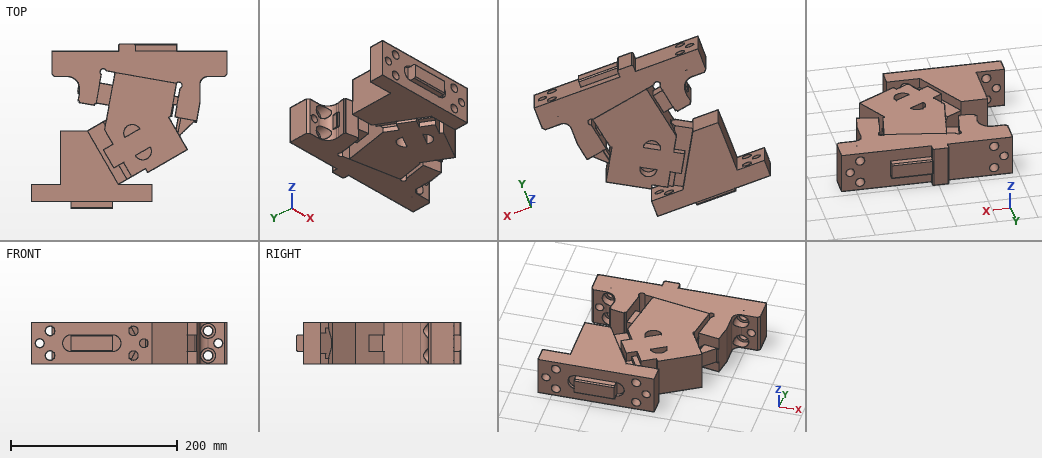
import cadquery as cq
import math


half_height = 25.03
key_half_width = 10.0
key_length = 50.0
key_protrusion = 8.5
key_chamfer = 1.6
bolt_radius = 5.6
pin_radius = 5.2
bolt_offset_z = 14.8
overlap = 2.4

base_length = 145.0
base_thickness = 20.7
base_bolt_offset = 50.0
base_pin_offset = 62.5
key_pocket_half_length = 35.0
key_pocket_depth = 4.2
tower_left = 34.8
tower_top = 85.0
base_center = base_length / 2

guide_tilt = math.radians(60)
guide_start = (67.2, tower_top)
guide_length = (tower_top - base_thickness) / math.sin(guide_tilt)
ridge_half_width = 12.57
ridge_tip_half_width = 5.6
vee_start = 18.5
vee_half_width = 18.45
vee_slope = math.tan(math.radians(30))
ridge_shoulder = vee_start + (vee_half_width - ridge_half_width) * vee_slope
ridge_tip = vee_start + (vee_half_width - ridge_tip_half_width) * vee_slope
stop_bottom = 12.0

tongue_bottom = 5.2
tongue_start = 29.4
tongue_end = 54.5
vee_entry = 9.2
groove_floor = 27.3
tail_step = 37.5
tail_end = 79.7
slide_face = 92.8
face_start = 35.0
face_step = 2.4
groove_lead_in = 47.0
slot_center_u = 45.4
slot_radius = 10.3
slot_depth = 18.8
slide_left = 15.7
slide_right = 91.0

holder_left = 24.7
holder_right = 235.0
holder_back = 180.7
holder_front = 150.2
holder_chamfer = 3.0
boss_left = 104.8
boss_right = 124.8
boss_height = 9.0
boss_chamfer = 1.5
holder_pin_inset = 10.5
holder_bolt_inset = 22.8
counterbore_radius = 9.0
counterbore_mouth = 136.3
counterbore_depth = 10.0
left_arm_x = 57.8
left_fillet = 14.8
right_arm_x = 202.5
right_fillet = 9.5

pocket_tilt = math.radians(10)
pocket_corner = (84.8, 158.0)
pocket_width = 95.9
left_arm_outside = -22.0
left_arm_end = 43.2
foot_height = 1.9
foot_inset = 1.9
right_arm_outside = 122.7
right_arm_end = 40.2
relief_inset = 1.9
relief_radius = 3.8

bar_start = 15.5
bar_end = right_arm_end
bar_overhang = 1.2
bar_head_end = 25.8
plug_outside = -24.5
plug_start = 21.0
plug_end = 32.5
plug_step = 0.7
plug_step_start = 29.5
hook_left = 103.2
heel_left = 120.5
heel_height = 2.0
hook_rib_left = 99.9
hook_rib_half_width = 7.0
hook_rib_v = 51.7
hook_left_v = 56.9
hook_tip_v = 60.5


def guide_point(u, v):
    x = guide_start[0] + u * math.sin(guide_tilt) + v * math.cos(guide_tilt)
    y = guide_start[1] + u * math.cos(guide_tilt) - v * math.sin(guide_tilt)
    return (x, y)


def pocket_point(p, q):
    x = pocket_corner[0] + p * math.cos(pocket_tilt) - q * math.sin(pocket_tilt)
    y = pocket_corner[1] - p * math.sin(pocket_tilt) - q * math.cos(pocket_tilt)
    return (x, y)


def pocket_q_at_x(p, x):
    """Depth q at which the pocket-frame line of constant p crosses the given X."""
    return (pocket_corner[0] + p * math.cos(pocket_tilt) - x) / math.sin(pocket_tilt)


def plate(points, half_width=half_height):
    """Prism with an XY outline, centred on Z = 0."""
    return cq.Workplane("XY").polyline(points).close().extrude(half_width, both=True)


def pocket_block(p_min, p_max, q_min, q_max, half_width):
    corners = [(p_min, q_min), (p_max, q_min), (p_max, q_max), (p_min, q_max)]
    return plate([pocket_point(p, q) for p, q in corners], half_width)


def guide_prism(half_profile, v_min, v_max):
    """Prism along the guide; half_profile lists (u, z) above the middle plane, mirrored below it."""
    profile = half_profile + [(u, -z) for u, z in reversed(half_profile)]
    along = (math.cos(guide_tilt), -math.sin(guide_tilt), 0)
    across = (math.sin(guide_tilt), math.cos(guide_tilt), 0)
    origin = (*guide_point(0, v_min), 0)
    plane = cq.Plane(origin=origin, xDir=across, normal=along)
    return cq.Workplane(plane).polyline(profile).close().extrude(v_max - v_min)


def box(x_min, x_max, y_min, y_max, half_width):
    return plate([(x_min, y_min), (x_max, y_min), (x_max, y_max), (x_min, y_max)], half_width)


def holes_along_y(centers, radius, y_min, y_max):
    """Cylinders along Y at the (x, z) centers."""
    plane = cq.Plane(origin=(0, y_max, 0), xDir=(1, 0, 0), normal=(0, -1, 0))
    return cq.Workplane(plane).pushPoints(centers).circle(radius).extrude(y_max - y_min)


def bolt_centers(*x_positions):
    return [(x, z) for x in x_positions for z in (-bolt_offset_z, bolt_offset_z)]


def make_driver():
    body = box(0, base_length, 0, base_thickness, half_height)
    body = body.union(plate([
        (tower_left, base_thickness),
        guide_point(0, guide_length),
        guide_start,
        (tower_left, tower_top),
    ]))

    ridge = [
        (-overlap, ridge_half_width),
        (ridge_shoulder, ridge_half_width),
        (ridge_tip, ridge_tip_half_width),
    ]
    body = body.union(guide_prism(ridge, 0, guide_length))

    stop = [
        (stop_bottom, vee_half_width),
        (vee_start, vee_half_width),
        (ridge_shoulder, ridge_half_width),
    ]
    body = body.union(guide_prism(stop, tongue_end, guide_length))

    pocket = (
        cq.Workplane("XZ")
        .center(base_center, 0)
        .slot2D(2 * key_pocket_half_length, 2 * key_half_width)
        .extrude(-key_pocket_depth)
    )
    body = body.cut(pocket)
    key_left = base_center - key_length / 2
    key = box(key_left, key_left + key_length, -key_protrusion, key_pocket_depth, key_half_width)
    key = key.faces("<Y").edges("|X").chamfer(key_chamfer)
    body = body.union(key)

    bolts = bolt_centers(base_center - base_bolt_offset, base_center + base_bolt_offset)
    pins = [(base_center - base_pin_offset, 0), (base_center + base_pin_offset, 0)]
    body = body.cut(holes_along_y(bolts, bolt_radius, 0, base_thickness))
    return body.cut(holes_along_y(pins, pin_radius, 0, base_thickness))


def make_slide():
    body = plate([
        pocket_point(slide_left, 0),
        pocket_point(slide_right, 0),
        guide_point(slide_face + face_step, face_start),
        guide_point(slide_face, face_start),
        guide_point(slide_face, tail_end),
        guide_point(tail_step, tail_end),
        guide_point(tail_step, guide_length),
        guide_point(vee_start, guide_length),
        guide_point(vee_start, tongue_end),
        guide_point(tongue_bottom, tongue_end),
        guide_point(tongue_bottom, tongue_start),
        guide_point(vee_start, tongue_start),
        guide_point(vee_start, vee_entry),
    ])

    groove = [
        (0, ridge_half_width),
        (ridge_shoulder, ridge_half_width),
        (ridge_tip, ridge_tip_half_width),
        (groove_floor, ridge_tip_half_width),
    ]
    body = body.cut(guide_prism(groove, -groove_lead_in, guide_length))

    mouth = [(vee_start, vee_half_width), (ridge_shoulder, ridge_half_width)]
    body = body.cut(guide_prism(mouth, -groove_lead_in, tongue_start))
    body = body.cut(guide_prism(mouth, tongue_end, guide_length))

    band = plate([
        guide_point(slot_center_u - slot_radius, tongue_start),
        guide_point(slot_center_u + slot_radius, tongue_start),
        guide_point(slot_center_u + slot_radius, tongue_end),
        guide_point(slot_center_u - slot_radius, tongue_end),
    ])
    centers = [guide_point(slot_center_u, v) for v in (tongue_start, tongue_end)]
    discs = cq.Workplane("XY").pushPoints(centers).circle(slot_radius).extrude(half_height, both=True)
    core_half_width = half_height - slot_depth
    core = cq.Workplane("XY").pushPoints(centers).circle(slot_radius).extrude(core_half_width, both=True)
    body = body.cut(discs.cut(band).cut(core))

    body = body.union(pocket_block(0, slide_right + bar_overhang, bar_start, bar_end, key_half_width))
    return body.union(pocket_block(slide_right, pocket_width, bar_start, bar_head_end, key_half_width))


def holder_outline():
    diagonal = math.sqrt(0.5)
    foot_start = left_arm_end - foot_height
    left_bend = pocket_q_at_x(left_arm_outside, left_arm_x)
    right_bend = pocket_q_at_x(right_arm_outside, right_arm_x)
    left_center = (left_arm_x - left_fillet, holder_front - left_fillet)
    right_center = (right_arm_x + right_fillet, holder_front - right_fillet)
    left_middle = (left_center[0] + left_fillet * diagonal, left_center[1] + left_fillet * diagonal)
    right_middle = (right_center[0] - right_fillet * diagonal, right_center[1] + right_fillet * diagonal)
    return (
        cq.Workplane("XY")
        .moveTo(holder_left, holder_back)
        .lineTo(holder_left, holder_front + holder_chamfer)
        .lineTo(holder_left + holder_chamfer, holder_front)
        .lineTo(left_center[0], holder_front)
        .threePointArc(left_middle, (left_arm_x, left_center[1]))
        .lineTo(*pocket_point(left_arm_outside, left_bend))
        .lineTo(*pocket_point(left_arm_outside, foot_start))
        .lineTo(*pocket_point(left_arm_outside + foot_inset, foot_start))
        .lineTo(*pocket_point(left_arm_outside + foot_inset, left_arm_end))
        .lineTo(*pocket_point(-foot_inset, left_arm_end))
        .lineTo(*pocket_point(-foot_inset, foot_start))
        .lineTo(*pocket_point(0, foot_start))
        .lineTo(*pocket_corner)
        .lineTo(*pocket_point(pocket_width, 0))
        .lineTo(*pocket_point(pocket_width, right_arm_end))
        .lineTo(*pocket_point(right_arm_outside, right_arm_end))
        .lineTo(*pocket_point(right_arm_outside, right_bend))
        .lineTo(right_arm_x, right_center[1])
        .threePointArc(right_middle, (right_center[0], holder_front))
        .lineTo(holder_right - holder_chamfer, holder_front)
        .lineTo(holder_right, holder_front + holder_chamfer)
        .lineTo(holder_right, holder_back)
        .close()
    )


def make_holder():
    body = holder_outline().extrude(half_height, both=True)

    reliefs = [
        pocket_point(relief_inset, relief_inset),
        pocket_point(pocket_width - relief_inset, relief_inset),
    ]
    body = body.cut(
        cq.Workplane("XY").pushPoints(reliefs).circle(relief_radius).extrude(half_height, both=True)
    )

    back_top = holder_back + boss_height
    boss = box(boss_left, boss_right, holder_back, back_top, half_height)
    boss = boss.faces(">Y").edges("|Z").chamfer(boss_chamfer)
    key = box(boss_right, boss_right + key_length, holder_back, back_top, key_half_width)
    key = key.faces(">Y").edges("|X").chamfer(key_chamfer)
    body = body.union(boss).union(key)

    body = body.union(plate([
        pocket_point(left_arm_outside + overlap, plug_start),
        pocket_point(plug_outside, plug_start),
        pocket_point(plug_outside, plug_step_start),
        pocket_point(plug_outside + plug_step, plug_step_start),
        pocket_point(plug_outside + plug_step, plug_end),
        pocket_point(left_arm_outside + overlap, plug_end),
    ], key_half_width))

    body = body.union(plate([
        pocket_point(hook_left, right_arm_end),
        pocket_point(right_arm_outside, right_arm_end),
        pocket_point(right_arm_outside, right_arm_end + heel_height),
        pocket_point(heel_left, right_arm_end + heel_height),
        pocket_point(heel_left, right_arm_end),
        guide_point(slide_face, hook_tip_v),
        guide_point(slide_face, hook_left_v),
    ], key_half_width))
    body = body.union(plate([
        pocket_point(hook_rib_left, right_arm_end),
        pocket_point(hook_left, right_arm_end),
        guide_point(slide_face, hook_left_v),
        guide_point(slide_face, hook_rib_v),
    ], hook_rib_half_width))

    bolts = bolt_centers(holder_left + holder_bolt_inset, holder_right - holder_bolt_inset)
    pins = [(holder_left + holder_pin_inset, 0), (holder_right - holder_pin_inset, 0)]
    counterbore_floor = holder_front + counterbore_depth
    body = body.cut(holes_along_y(bolts, counterbore_radius, counterbore_mouth, counterbore_floor))
    body = body.cut(holes_along_y(bolts, bolt_radius, 0, holder_back))
    return body.cut(holes_along_y(pins, pin_radius, 0, holder_back))


driver = make_driver()
slide = make_slide()
holder = make_holder()

result = cq.Compound.makeCompound([*driver.solids().vals(), *slide.solids().vals(), *holder.solids().vals()])